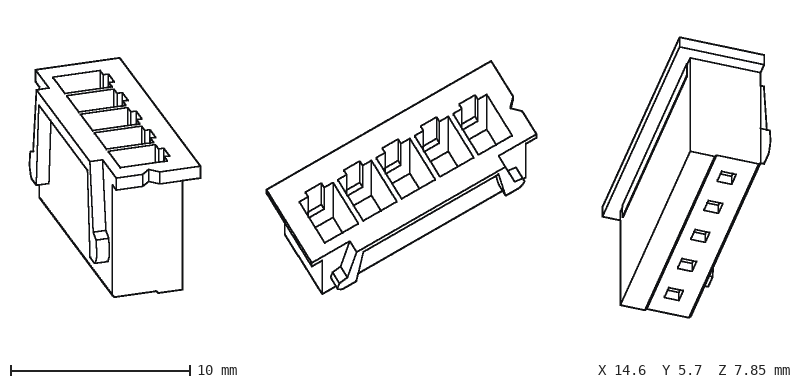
import cadquery as cq


flange_width = 14.6
flange_depth = 4.95
flange_thickness = 0.75
front_y = -flange_depth

notch_depth = 0.5
notch_center_y = -2.89

body_width = 13.23
total_height = 7.85
body_rear_y = -0.83
step_rise = 0.13
step_run = 0.12
step_y = -2.26
front_chamfer = 0.12

pad_thickness = 0.05
pad_height = 0.89

cavity_count = 5
cavity_pitch = 2.5
cavity_width = 2.19
cavity_rear_y = -1.55
cavity_front_y = -4.32
floor_thickness = 0.75
key_width = 1.04
key_depth = 0.3
key_length = 4.38
pin_hole_size = 0.85
pin_hole_center_y = -3.46

latch_thickness = 0.75
latch_bar_height = flange_thickness
latch_outer_top = 4.83
latch_inner_top = 4.4
latch_inner_bottom = 4.85
latch_bottom_z = -5.93
neck = (5.43, -4.1)
shoulder = (5.95, -4.35)
flank_end = (6.06, -5.01)
tip = (6.07, -5.24)
bulge_end = (5.99, -5.53)
toe_start = (5.87, -5.75)
toe_middle = (5.78, -5.87)
toe_end = (5.65, latch_bottom_z)

cavity_xs = [(index - (cavity_count - 1) / 2) * cavity_pitch for index in range(cavity_count)]


def block(center_x, width, y_min, y_max, z_min, z_max):
    """Upright box centred on center_x and spanning the given Y and Z ranges."""
    return (
        cq.Workplane("XY")
        .box(width, y_max - y_min, z_max - z_min, centered=(True, False, False))
        .translate((center_x, y_min, z_min))
    )


def make_flange():
    """Top plate with a right-angled V-notch through its +X edge."""
    plate = block(0, flange_width, front_y, 0, -flange_thickness, 0)
    edge_x = flange_width / 2
    notch = (
        cq.Workplane("XY")
        .polyline([
            (edge_x, notch_center_y - notch_depth),
            (edge_x - notch_depth, notch_center_y),
            (edge_x, notch_center_y + notch_depth),
        ])
        .close()
        .extrude(-flange_thickness)
    )
    return plate.cut(notch)


def make_body():
    """Housing whose underside steps up toward the front and ends in a small chamfer."""
    underside_z = -total_height + step_rise
    profile = [
        (body_rear_y, 0),
        (body_rear_y, -total_height),
        (step_y, -total_height),
        (step_y - step_run, underside_z),
        (front_y + front_chamfer, underside_z),
        (front_y, underside_z + front_chamfer),
        (front_y, 0),
    ]
    return (
        cq.Workplane("YZ")
        .polyline(profile)
        .close()
        .extrude(body_width / 2, both=True)
    )


def make_rear_pad():
    """Low pad as wide as the row of cavities."""
    row_width = (cavity_count - 1) * cavity_pitch + cavity_width
    pad_bottom_z = -flange_thickness - pad_height
    return block(0, row_width, body_rear_y, body_rear_y + pad_thickness, pad_bottom_z, -flange_thickness)


def make_half_latch():
    """+X half of the latch bracket: half the top bar and one hooked arm."""
    return (
        cq.Workplane("XZ", origin=(0, front_y, 0))
        .moveTo(0, 0)
        .lineTo(latch_outer_top, 0)
        .lineTo(*neck)
        .lineTo(*shoulder)
        .lineTo(*flank_end)
        .threePointArc(tip, bulge_end)
        .lineTo(*toe_start)
        .threePointArc(toe_middle, toe_end)
        .lineTo(latch_inner_bottom, latch_bottom_z)
        .lineTo(latch_inner_top, -latch_bar_height)
        .lineTo(0, -latch_bar_height)
        .close()
        .extrude(latch_thickness)
    )


def make_latch():
    """Complete bracket: the half latch joined to its mirror image."""
    half = make_half_latch()
    return half.union(half.mirror("YZ"))


def make_cavity(center_x):
    """Open-topped cavity with a shorter rear key slot and a square pin hole through its floor."""
    floor_z = -total_height + floor_thickness
    pocket = block(center_x, cavity_width, cavity_front_y, cavity_rear_y, floor_z, 0)
    key_slot = block(center_x, key_width, cavity_rear_y, cavity_rear_y + key_depth, -key_length, 0)
    pin_hole = block(
        center_x,
        pin_hole_size,
        pin_hole_center_y - pin_hole_size / 2,
        pin_hole_center_y + pin_hole_size / 2,
        -total_height,
        floor_z,
    )
    return pocket.union(key_slot).union(pin_hole)


result = make_flange().union(make_body()).union(make_rear_pad()).union(make_latch())
for cavity_x in cavity_xs:
    result = result.cut(make_cavity(cavity_x))